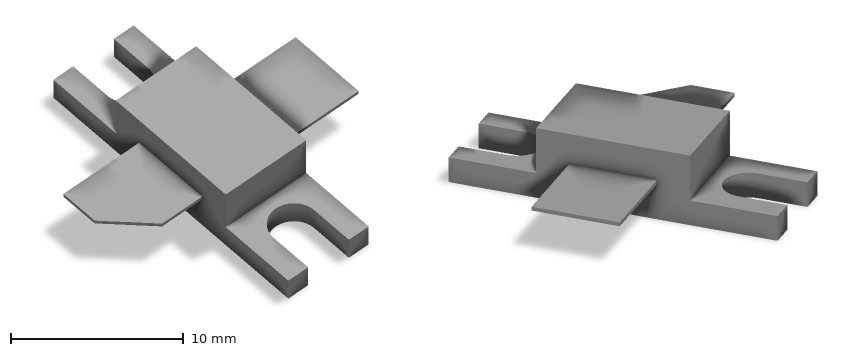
import cadquery as cq

flange_length = 20.5
body_width = 6.23
flange_height = 1.6
slot_width = 3.15
slot_depth = 4.6

body_length = 9.6
total_height = 4.5
insulator_height = 0.7

lead_span = 18.0
lead_width = 5.5
lead_thickness = 0.25
lead_corner_cut = 2.77


def centred_block(length, width, height, bottom):
    """Box centred on the Z axis, standing on the given height."""
    block = cq.Workplane("XY").box(length, width, height, centered=(True, True, False))
    return block.translate((0, 0, bottom))


def mounting_slot(side):
    """Round-ended cutter open at one end of the flange; side is -1 or 1."""
    return (
        cq.Workplane("XY")
        .center(side * flange_length / 2, 0)
        .slot2D(2 * slot_depth, slot_width)
        .extrude(flange_height)
    )


flange = centred_block(flange_length, body_width, flange_height, 0)
for side in (-1, 1):
    flange = flange.cut(mounting_slot(side))

body = centred_block(body_length, body_width, total_height - flange_height, flange_height)

lead_bottom = flange_height + insulator_height
leads = (
    centred_block(lead_width, lead_span, lead_thickness, lead_bottom)
    .edges("|Z and >X and <Y")
    .chamfer(lead_corner_cut)
)

result = flange.union(body).union(leads)